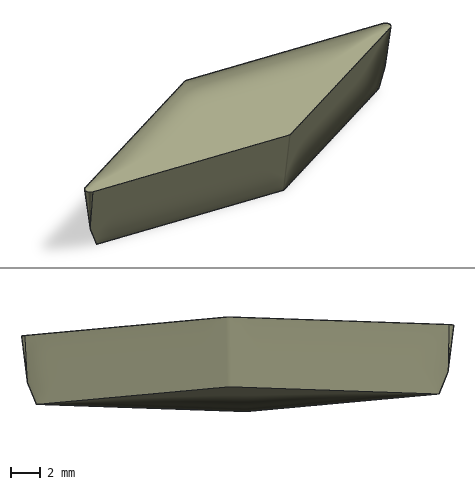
import cadquery as cq
import math

width = 9.525
thickness = 4.76
acute_angle = math.radians(35)
relief_angle_deg = 7
nose_radius = 0.397
side_edge_radius = 0.397
cutter_reach = 3 * nose_radius

half_width = width / 2
side_length = width / math.sin(acute_angle)
acute_y = (side_length + width / math.tan(acute_angle)) / 2
obtuse_y = side_length - acute_y

cone_depth = nose_radius / math.tan(math.radians(relief_angle_deg))
cone_tip_z = thickness - cone_depth


def sharp_body():
    """Tapered rhombic block with sharp edges, largest at the top face."""
    corners = [
        (-half_width, acute_y),
        (-half_width, -obtuse_y),
        (half_width, -acute_y),
        (half_width, obtuse_y),
    ]
    return (
        cq.Workplane("XY", origin=(0, 0, thickness))
        .polyline(corners)
        .close()
        .extrude(-thickness, taper=relief_angle_deg)
    )


def round_obtuse_edges(body):
    """Round the two edges that run down from the obtuse corners."""
    for side in (-1, 1):
        corner = (side * half_width, side * obtuse_y, thickness / 2)
        edge = cq.NearestToPointSelector(corner)
        body = body.edges(edge).fillet(side_edge_radius)
    return body


def pyramid(base_points, tip):
    """Solid pyramid over a planar polygon."""
    base = [cq.Vector(*point) for point in base_points]
    apex = cq.Vector(*tip)
    outlines = [base]
    for start, end in zip(base, base[1:] + base[:1]):
        outlines.append([start, end, apex])
    faces = [cq.Face.makeFromWires(cq.Wire.makePolygon(points, close=True)) for points in outlines]
    return cq.Workplane(cq.Solid.makeSolid(cq.Shell.makeShell(faces)))


def nose_cutter():
    """Material outside the nose cone at the acute corner on the -X, +Y side."""
    center_x = -half_width + nose_radius
    center_y = acute_y - nose_radius / math.tan(acute_angle / 2)
    flank_x = center_x - cutter_reach
    base = [
        (center_x, center_y, thickness),
        (flank_x, center_y, thickness),
        (flank_x, center_y + cutter_reach / math.tan(acute_angle / 2), thickness),
        (
            center_x + cutter_reach * math.cos(acute_angle),
            center_y + cutter_reach * math.sin(acute_angle),
            thickness,
        ),
    ]
    wedge = pyramid(base, (center_x, center_y, cone_tip_z))
    cone = cq.Workplane(
        cq.Solid.makeCone(0, nose_radius, cone_depth, cq.Vector(center_x, center_y, cone_tip_z))
    )
    return wedge.cut(cone)


def round_noses(body):
    """Round both acute corners; the second is the first turned half a turn about Z."""
    cutter = nose_cutter()
    for turn in (0, 180):
        body = body.cut(cutter.rotate((0, 0, 0), (0, 0, 1), turn))
    return body


result = round_noses(round_obtuse_edges(sharp_body())).solids()